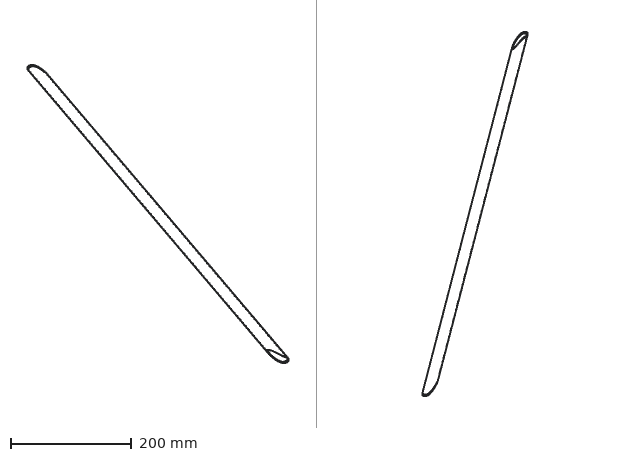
import cadquery as cq

tube_diameter = 20.0
wall = 1.5

run_x = 731.69
run_y = -383.35
rise_z = 63.16

rail_radius = 13.0
rail_offset = 1.7
rail_length = 200.0

overrun = 60.0

half_span = cq.Vector(run_x, run_y, rise_z) * 0.5
tube_axis = half_span.normalized()


def plain_tube():
    """Uncoped tube, centred on the origin."""
    start = -half_span - tube_axis * overrun
    length = 2 * (half_span.Length + overrun)
    outer_radius = tube_diameter / 2
    upward = cq.Vector(0, 0, 1) - tube_axis * tube_axis.z
    section = cq.Plane(origin=start, xDir=upward, normal=tube_axis)
    return cq.Workplane(section).circle(outer_radius).circle(outer_radius - wall).extrude(length)


def rail(centre):
    """Solid rail parallel to X, centred on the given point."""
    start = centre - cq.Vector(rail_length / 2, 0, 0)
    return cq.Solid.makeCylinder(rail_radius, rail_length, start, cq.Vector(1, 0, 0))


def coped(body, rail_centre):
    """Cut one rail through the body and drop the offcut beyond it."""
    pieces = body.cut(cq.Workplane(rail(rail_centre))).solids().vals()
    longest_piece = max(pieces, key=lambda piece: piece.Volume())
    return cq.Workplane(longest_piece)


upper_rail_centre = half_span - cq.Vector(0, 0, rail_offset)
lower_rail_centre = -upper_rail_centre

result = plain_tube()
for rail_centre in (lower_rail_centre, upper_rail_centre):
    result = coped(result, rail_centre)